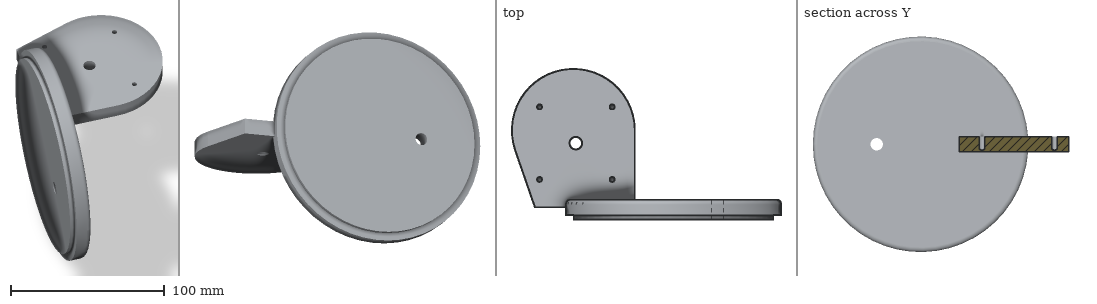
import cadquery as cq
import math

disc_diameter = 140.0
disc_thickness = 10.0
disc_back_fillet = 3.0
step_diameter = 130.0
step_height = 3.0
disc_hole_diameter = 8.0
disc_hole_x = 28.5

plate_thickness = 10.0
plate_radius = 40.0
plate_center_x = -65.0
plate_center_y = 45.0
plate_embed_depth = disc_thickness / 2
plate_corner_x = -90.0

pattern_center_x = -63.4
pattern_center_y = 36.7
plate_hole_diameter = 8.0
screw_spacing = 47.14
screw_hole_diameter = 3.3
screw_hole_depth = 8.0
drill_point_angle = 118.0


def make_disc():
    """Disc with a rounded back edge and a smaller raised step on its front."""
    disc = cq.Workplane("XZ").circle(disc_diameter / 2).extrude(disc_thickness)
    disc = disc.faces(">Y").edges().fillet(disc_back_fillet)
    step = (
        cq.Workplane("XZ", origin=(0, -disc_thickness, 0))
        .circle(step_diameter / 2)
        .extrude(step_height)
    )
    return disc.union(step)


def make_plate():
    """Plate with a round far end, a straight right side and a left side tangent to the round."""
    right_x = plate_center_x + plate_radius
    front_y = -plate_embed_depth

    corner_dx = plate_corner_x - plate_center_x
    corner_dy = front_y - plate_center_y
    corner_distance = math.hypot(corner_dx, corner_dy)
    corner_direction = math.atan2(corner_dy, corner_dx)
    tangent_angle = corner_direction - math.acos(plate_radius / corner_distance)
    tangent_x = plate_center_x + plate_radius * math.cos(tangent_angle)
    tangent_y = plate_center_y + plate_radius * math.sin(tangent_angle)

    return (
        cq.Workplane("XY", origin=(0, 0, -plate_thickness / 2))
        .moveTo(plate_corner_x, front_y)
        .lineTo(right_x, front_y)
        .lineTo(right_x, plate_center_y)
        .threePointArc((plate_center_x, plate_center_y + plate_radius), (tangent_x, tangent_y))
        .close()
        .extrude(plate_thickness)
    )


def make_screw_hole(x, y):
    """Blind drilled hole from the top of the plate, ending in a conical drill point."""
    radius = screw_hole_diameter / 2
    point_height = radius / math.tan(math.radians(drill_point_angle / 2))
    return (
        cq.Workplane("XZ", origin=(x, y, plate_thickness / 2))
        .polyline([
            (0, 0),
            (radius, 0),
            (radius, -screw_hole_depth),
            (0, -screw_hole_depth - point_height),
        ])
        .close()
        .revolve(360, (0, 0, 0), (0, 1, 0))
    )


def cut_plate_holes(body):
    """One through hole in the middle of a square of four blind screw holes."""
    body = body.cut(
        cq.Workplane("XY", origin=(pattern_center_x, pattern_center_y, -plate_thickness / 2))
        .circle(plate_hole_diameter / 2)
        .extrude(plate_thickness)
    )
    for x_side in (-1, 1):
        for y_side in (-1, 1):
            screw_x = pattern_center_x + x_side * screw_spacing / 2
            screw_y = pattern_center_y + y_side * screw_spacing / 2
            body = body.cut(make_screw_hole(screw_x, screw_y))
    return body


def cut_disc_hole(body):
    """Through hole on the horizontal centre line of the disc."""
    return body.cut(
        cq.Workplane("XZ", origin=(disc_hole_x, 0, 0))
        .circle(disc_hole_diameter / 2)
        .extrude(disc_thickness + step_height)
    )


result = cut_disc_hole(cut_plate_holes(make_disc().union(make_plate())))